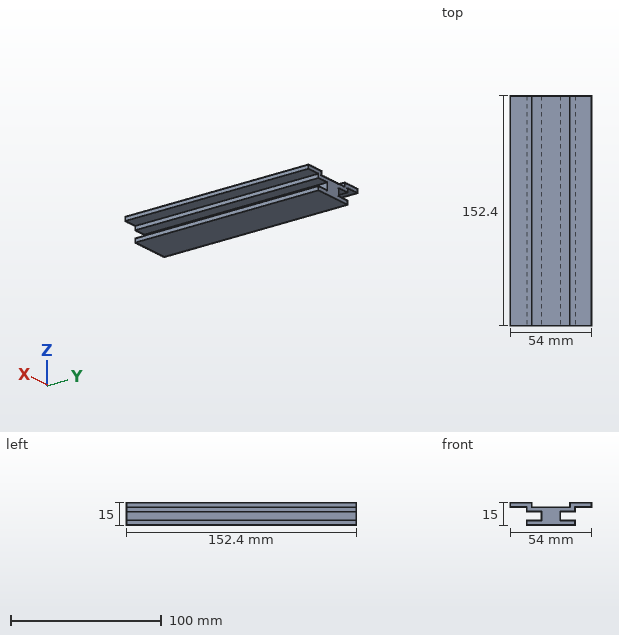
import cadquery as cq

length = 152.4
overall_width = 54.0
overall_height = 15.0

wall = 3.0
channel_width = 25.3
body_width = 32.0
web_width = 12.5

half_top = overall_width / 2
half_channel = channel_width / 2
half_body = body_width / 2
half_web = web_width / 2

base_top = wall
wing_bottom = overall_height - wall
floor_bottom = wing_bottom - wall

right_side = [
    (half_body, 0),
    (half_body, base_top),
    (half_web, base_top),
    (half_web, floor_bottom),
    (half_body, floor_bottom),
    (half_body, wing_bottom),
    (half_top, wing_bottom),
    (half_top, overall_height),
    (half_channel, overall_height),
    (half_channel, wing_bottom),
]
left_side = [(-x, z) for x, z in reversed(right_side)]

result = (
    cq.Workplane("XZ")
    .polyline(right_side + left_side)
    .close()
    .extrude(length / 2, both=True)
)